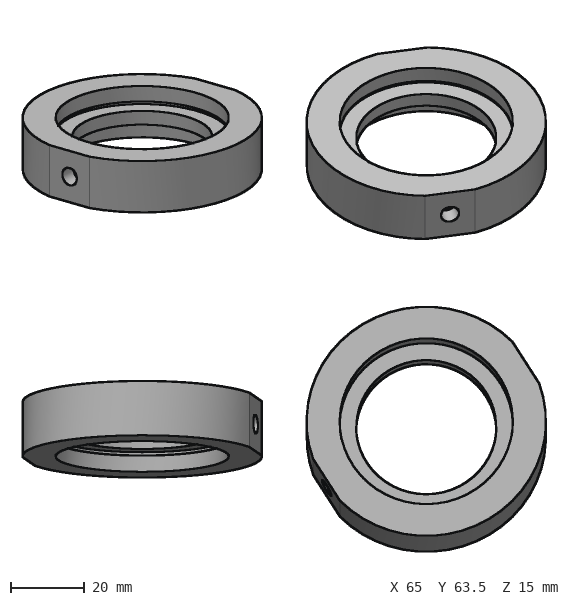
import cadquery as cq
import math

outer_diameter = 65.0
height = 15.0
across_flats = 63.5

throat_diameter = 38.0
seat_diameter = 47.0
seat_depth = 5.5

relief_diameter = 48.2
relief_width = 1.0

hole_diameter = 5.0
hole_depth = 5.0
drill_point_angle = 118.0

mid_height = height / 2
flat_distance = across_flats / 2


def ring_body():
    """Disc with two parallel flats facing -Y and +Y."""
    disc = cq.Workplane("XY").circle(outer_diameter / 2).extrude(height)
    flat_slab = cq.Workplane("XY").rect(outer_diameter, across_flats).extrude(height)
    return disc.intersect(flat_slab)


def bore_disc(diameter, bottom, thickness):
    """Cutting disc on the Z axis, starting at the height `bottom`."""
    return cq.Workplane("XY").workplane(offset=bottom).circle(diameter / 2).extrude(thickness)


def upper_seat():
    """Seat open to the top face, with its corner relief groove."""
    seat_floor = height - seat_depth
    seat = bore_disc(seat_diameter, seat_floor, seat_depth)
    return seat.union(bore_disc(relief_diameter, seat_floor, relief_width))


def pivot_hole():
    """Drilled hole with a conical bottom, entering the -Y flat along +Y."""
    radius = hole_diameter / 2
    point_length = radius / math.tan(math.radians(drill_point_angle / 2))
    shoulder = hole_depth - flat_distance
    profile = (
        cq.Workplane("XY")
        .moveTo(0, -flat_distance)
        .lineTo(radius, -flat_distance)
        .lineTo(radius, shoulder)
        .lineTo(0, shoulder + point_length)
        .close()
    )
    return profile.revolve(360, (0, 0, 0), (0, 1, 0)).translate((0, 0, mid_height))


seat_cut = upper_seat()
hole_cut = pivot_hole()

result = (
    ring_body()
    .cut(bore_disc(throat_diameter, 0, height))
    .cut(seat_cut)
    .cut(seat_cut.mirror("XY", (0, 0, mid_height)))
    .cut(hole_cut)
    .cut(hole_cut.mirror("XZ"))
)